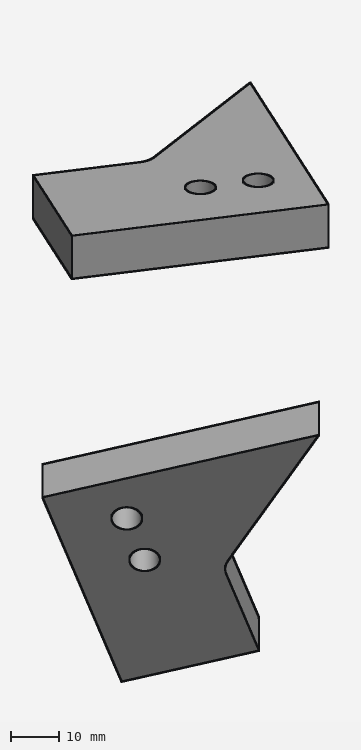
import cadquery as cq

length = 60.3
depth = 55.4
thickness = 10.0

leg_width = 29.95
inner_corner_radius = 5.0

hole_diameter = 6.4
hole_spacing = 12.5
first_hole_from_back = 11.0

slope_run = length - leg_width
leg_left = slope_run
slope_end_y = depth - slope_run

plate = (
    cq.Workplane("XY")
    .moveTo(0, depth)
    .lineTo(length, depth)
    .lineTo(length, 0)
    .lineTo(leg_left, 0)
    .lineTo(leg_left, slope_end_y)
    .close()
    .extrude(thickness)
)

inner_corner = cq.selectors.NearestToPointSelector((leg_left, slope_end_y, thickness / 2))
plate = plate.edges("|Z").edges(inner_corner).fillet(inner_corner_radius)

hole_x = length - leg_width / 2
first_hole_y = depth - first_hole_from_back
hole_centers = [(hole_x, first_hole_y), (hole_x, first_hole_y - hole_spacing)]
holes = (
    cq.Workplane("XY")
    .pushPoints(hole_centers)
    .circle(hole_diameter / 2)
    .extrude(thickness)
)

result = plate.cut(holes)